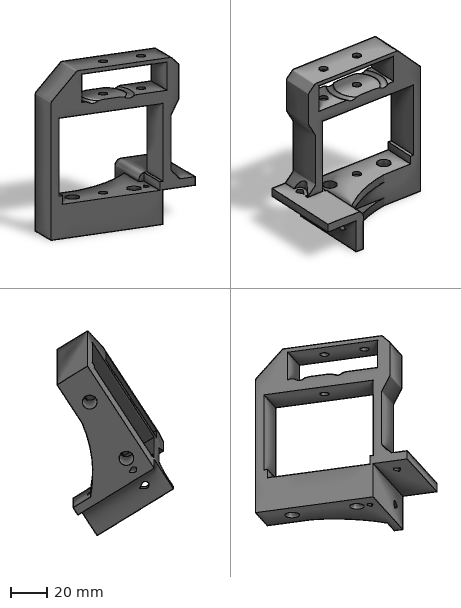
import cadquery as cq
import math

LENGTH_X = 50.0
DEPTH_Y = 89.0
HEIGHT_Z = 96.0

FRAME_WIDTH = 20.0
FRAME_X = LENGTH_X - FRAME_WIDTH
FRAME_MID_X = FRAME_X + FRAME_WIDTH / 2
WALL = 5.0
FRONT_CHAMFER = 16.0
BACK_CHAMFER = 4.7
HEAD_BACK_Y = 78.9
HEAD_BOTTOM_Z = 71.4
NECK_TOP_Z = 62.6
NECK_BACK_Y = 74.0
FOOT_BACK_Y = 79.7
CORNER_RADIUS = 2.0

SHELF_TOP_Z = 25.0
BASE_TOP_Z = SHELF_TOP_Z - WALL
WINDOW_BACK_Y = 69.0
WINDOW_TOP_Z = 70.0
SEAT_LENGTH = 60.0
SEAT_MID_Y = 37.1
HEAD_SLOT_FRONT_Y = 18.9
HEAD_SLOT_BACK_Y = 71.5
HEAD_SLOT_BOTTOM_Z = 77.3
HEAD_SLOT_TOP_Z = 93.6

SHELF_WALL_Y = WINDOW_BACK_Y - WALL
SHELF_ROUND = 4.0
RIB_TIP_X = 11.6
RIB_MID_X = 21.2
RIB_MID_Y = 50.8
RIB_END_Y = 25.7
RIB_LEVELS = (0, BASE_TOP_Z - WALL)

PIN_DIAMETER = 5.0
PIN_DEPTH = 1.8
BACK_PIN_Y = 60.5
BASE_BORE_DIAMETER = 8.0
BASE_BORE_OFFSET = 19.0

SCREW_DIAMETER = 4.0
SCREW_HEAD_DIAMETER = 8.0
TIP_HALF_ANGLE = math.radians(33)
WALL_SCREW_X = 13.2
WALL_SCREW_Z = BASE_TOP_Z / 2
SHELF_SCREW_X = 38.0
SHELF_SCREW_Y = 78.8
BASE_SCREW_Y = 63.6
BASE_SCREW_DIAMETER = 3.2

GROOVE_RADIUS = 15.0
GROOVE_HALF_WIDTH = 2.1
GROOVE_LIP_WIDTH = 1.5
GROOVE_LIP_DEPTH = 0.4
GROOVE_DEPTH = 1.4


def box(x0, x1, y0, y1, z0, z1):
    """Block between two opposite corners."""
    return cq.Workplane("XY").box(x1 - x0, y1 - y0, z1 - z0, centered=False).translate((x0, y0, z0))


def cylinder(diameter, x, y, z0, z1):
    """Upright cylinder between two levels."""
    return cq.Workplane("XY", origin=(x, y, z0)).circle(diameter / 2).extrude(z1 - z0)


def teardrop(plane, origin, diameter, length):
    """Cylinder with a pointed side toward -X, extruded along the plane normal."""
    radius = diameter / 2
    tangent_x = -radius * math.sin(TIP_HALF_ANGLE)
    tangent_y = radius * math.cos(TIP_HALF_ANGLE)
    tip_x = -radius / math.sin(TIP_HALF_ANGLE)
    return (
        cq.Workplane(plane, origin=origin)
        .moveTo(tangent_x, tangent_y)
        .threePointArc((radius, 0), (tangent_x, -tangent_y))
        .lineTo(tip_x, 0)
        .close()
        .extrude(length)
    )


def make_frame():
    """Solid side outline of the frame with its outer corners softened."""
    foot_rise = FOOT_BACK_Y - NECK_BACK_Y
    outline = [
        (0, 0),
        (WINDOW_BACK_Y, 0),
        (WINDOW_BACK_Y, BASE_TOP_Z),
        (FOOT_BACK_Y, BASE_TOP_Z),
        (FOOT_BACK_Y, SHELF_TOP_Z),
        (NECK_BACK_Y, SHELF_TOP_Z + foot_rise),
        (NECK_BACK_Y, NECK_TOP_Z),
        (HEAD_BACK_Y, HEAD_BOTTOM_Z),
        (HEAD_BACK_Y, HEIGHT_Z - BACK_CHAMFER),
        (HEAD_BACK_Y - BACK_CHAMFER, HEIGHT_Z),
        (FRONT_CHAMFER, HEIGHT_Z),
        (0, HEIGHT_Z - FRONT_CHAMFER),
    ]
    frame = cq.Workplane("YZ", origin=(FRAME_X, 0, 0)).polyline(outline).close().extrude(FRAME_WIDTH)
    first_rounded_corner = 5
    for y, z in outline[first_rounded_corner:]:
        corner = cq.selectors.NearestToPointSelector((FRAME_MID_X, y, z))
        frame = frame.edges("|X").edges(corner).fillet(CORNER_RADIUS)
    return frame


def make_openings():
    """Main window, the seat sunk below it, and the slot in the head."""
    seat_front = SEAT_MID_Y - SEAT_LENGTH / 2
    seat_back = SEAT_MID_Y + SEAT_LENGTH / 2
    window = box(FRAME_X, LENGTH_X, WALL, WINDOW_BACK_Y, SHELF_TOP_Z, WINDOW_TOP_Z)
    seat = box(FRAME_X, LENGTH_X, seat_front, seat_back, BASE_TOP_Z, SHELF_TOP_Z)
    head_slot = box(
        FRAME_X, LENGTH_X, HEAD_SLOT_FRONT_Y, HEAD_SLOT_BACK_Y, HEAD_SLOT_BOTTOM_Z, HEAD_SLOT_TOP_Z
    )
    return window.union(seat).union(head_slot)


def make_shelf():
    """Angle plate beside the frame; its flat top also runs behind the frame."""
    wall = box(0, FRAME_X, SHELF_WALL_Y, WINDOW_BACK_Y, 0, SHELF_TOP_Z)
    top = box(0, FRAME_X, SHELF_WALL_Y, DEPTH_Y, BASE_TOP_Z, SHELF_TOP_Z)
    angle = wall.union(top).edges("|X and >Z and <Y").fillet(SHELF_ROUND)
    return angle.union(box(FRAME_X, LENGTH_X, WINDOW_BACK_Y, DEPTH_Y, BASE_TOP_Z, SHELF_TOP_Z))


def make_rib(z):
    """Curved gusset between the shelf wall and the side of the frame."""
    return (
        cq.Workplane("XY", origin=(0, 0, z))
        .moveTo(FRAME_X, SHELF_WALL_Y)
        .lineTo(RIB_TIP_X, SHELF_WALL_Y)
        .threePointArc((RIB_MID_X, RIB_MID_Y), (FRAME_X, RIB_END_Y))
        .close()
        .extrude(WALL)
    )


def make_round_holes():
    """Pin holes in the head and base, and two bores through the base."""
    holes = cylinder(PIN_DIAMETER, FRAME_MID_X, SEAT_MID_Y, WINDOW_TOP_Z, HEIGHT_Z)
    back_pin_bottom = HEAD_SLOT_BOTTOM_Z - PIN_DEPTH
    holes = holes.union(cylinder(PIN_DIAMETER, FRAME_MID_X, BACK_PIN_Y, back_pin_bottom, HEIGHT_Z))
    base_pin_bottom = BASE_TOP_Z - PIN_DEPTH
    holes = holes.union(cylinder(PIN_DIAMETER, FRAME_MID_X, SEAT_MID_Y, base_pin_bottom, BASE_TOP_Z))
    for side in (-1, 1):
        y = SEAT_MID_Y + side * BASE_BORE_OFFSET
        holes = holes.union(cylinder(BASE_BORE_DIAMETER, FRAME_MID_X, y, 0, BASE_TOP_Z))
    return holes


def make_screw_holes():
    """Teardrop holes in the shelf wall, shelf top and base, with head clearance above the shelf."""
    wall_hole = teardrop("XZ", (WALL_SCREW_X, WINDOW_BACK_Y, WALL_SCREW_Z), SCREW_DIAMETER, WALL)
    shelf_hole = teardrop("XY", (SHELF_SCREW_X, SHELF_SCREW_Y, BASE_TOP_Z), SCREW_DIAMETER, WALL)
    base_hole = teardrop("XY", (FRAME_MID_X, BASE_SCREW_Y, 0), BASE_SCREW_DIAMETER, BASE_TOP_Z)
    head_clearance = teardrop(
        "XY",
        (SHELF_SCREW_X, SHELF_SCREW_Y, SHELF_TOP_Z),
        SCREW_HEAD_DIAMETER,
        NECK_TOP_Z - SHELF_TOP_Z,
    )
    return wall_hole.union(shelf_hole).union(base_hole).union(head_clearance)


def make_ring_groove():
    """Round-bottomed ring with sloping lips, centred on the front pin hole."""
    inner = GROOVE_RADIUS - GROOVE_HALF_WIDTH
    outer = GROOVE_RADIUS + GROOVE_HALF_WIDTH
    return (
        cq.Workplane("YZ", origin=(FRAME_MID_X, SEAT_MID_Y, HEAD_SLOT_BOTTOM_Z))
        .moveTo(inner - GROOVE_LIP_WIDTH, 0)
        .lineTo(inner, -GROOVE_LIP_DEPTH)
        .threePointArc((GROOVE_RADIUS, -GROOVE_DEPTH), (outer, -GROOVE_LIP_DEPTH))
        .lineTo(outer + GROOVE_LIP_WIDTH, 0)
        .close()
        .revolve(360, (0, 0, 0), (0, 1, 0))
    )


def make_bracket():
    """Complete one-piece bracket."""
    groove_bounds = box(
        FRAME_X, LENGTH_X, HEAD_SLOT_FRONT_Y, HEAD_SLOT_BACK_Y, WINDOW_TOP_Z, HEAD_SLOT_BOTTOM_Z
    )
    bracket = make_frame().cut(make_openings()).union(make_shelf())
    for level in RIB_LEVELS:
        bracket = bracket.union(make_rib(level))
    bracket = bracket.cut(make_round_holes()).cut(make_screw_holes())
    return bracket.cut(make_ring_groove().intersect(groove_bounds))


result = make_bracket()